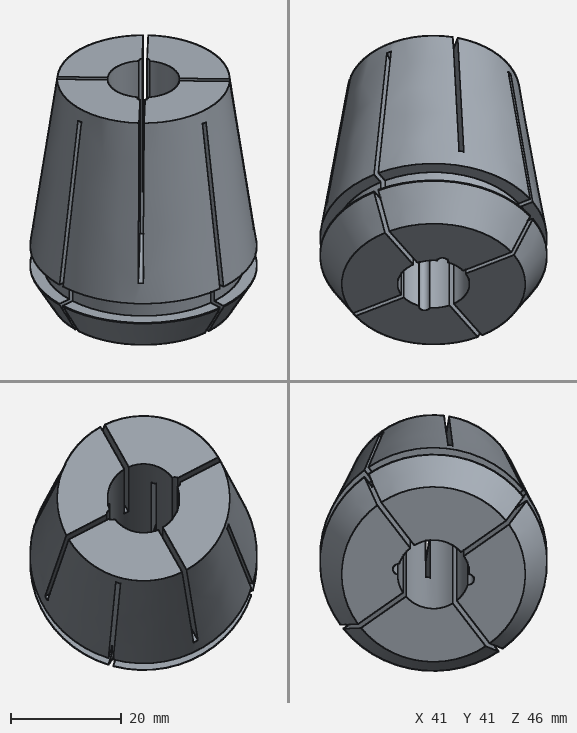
import cadquery as cq
import math

total_height = 46.0
max_radius = 20.5
bore_radius = 6.5

flange_top_z = 7.0
flange_land = 0.2
flange_angle = math.radians(30)
flange_bottom_radius = max_radius - (flange_top_z - flange_land) * math.tan(flange_angle)

groove_width = 4.0
groove_radius = 18.1
taper_start_z = flange_top_z + groove_width

taper_angle = math.radians(8)

slot_count = 4
slot_spacing = 360 / slot_count
slot_width = 0.9
slot_overrun = 5.0

lower_slot_end_at_bore = 34.85
lower_slot_end_at_taper = 43.6
lower_saw_radius = 40.0
upper_slot_end_at_bore = 18.5
upper_slot_end_at_taper = 15.0
upper_saw_radius = 20.0

relief_radius = 1.0
relief_pitch_radius = 6.4
relief_angles = (135, 315)


def taper_radius_at(z):
    """Outer radius of the clamping taper at height z."""
    return max_radius - (z - taper_start_z) * math.tan(taper_angle)


def make_body():
    """Revolved outer profile with the through bore."""
    profile = [
        (bore_radius, 0),
        (flange_bottom_radius, 0),
        (max_radius, flange_top_z - flange_land),
        (max_radius, flange_top_z),
        (groove_radius, flange_top_z),
        (groove_radius, taper_start_z),
        (max_radius, taper_start_z),
        (taper_radius_at(total_height), total_height),
        (bore_radius, total_height),
    ]
    return cq.Workplane("XZ").polyline(profile).close().revolve(360, (0, 0, 0), (0, 1, 0))


def run_out_midpoint(inner, outer, open_z, saw_radius):
    """Middle of the saw arc from inner to outer, bulging away from the slot's open end."""
    chord_r = outer[0] - inner[0]
    chord_z = outer[1] - inner[1]
    chord = math.hypot(chord_r, chord_z)
    bulge = saw_radius - math.sqrt(saw_radius**2 - (chord / 2) ** 2)
    away = 1 if inner[1] > open_z else -1
    mid_r = (inner[0] + outer[0]) / 2 - bulge * abs(chord_z) / chord
    mid_z = (inner[1] + outer[1]) / 2 + away * bulge * chord_r / chord
    return (mid_r, mid_z)


def make_slot(bore_z, taper_z, open_z, saw_radius, angle):
    """Radial saw slot from its open end to an arc run-out, turned to the given angle."""
    inner = (bore_radius, bore_z)
    outer = (taper_radius_at(taper_z), taper_z)
    far_radius = max_radius + slot_overrun
    slot = (
        cq.Workplane("XZ")
        .moveTo(0, open_z)
        .lineTo(0, bore_z)
        .lineTo(*inner)
        .threePointArc(run_out_midpoint(inner, outer, open_z, saw_radius), outer)
        .lineTo(far_radius, taper_z)
        .lineTo(far_radius, open_z)
        .close()
        .extrude(slot_width / 2, both=True)
    )
    return slot.rotate((0, 0, 0), (0, 0, 1), angle)


def make_lower_slot(angle):
    """Slot open at the nose flange."""
    return make_slot(lower_slot_end_at_bore, lower_slot_end_at_taper, -slot_overrun, lower_saw_radius, angle)


def make_upper_slot(angle):
    """Slot open at the small end of the taper."""
    open_z = total_height + slot_overrun
    return make_slot(upper_slot_end_at_bore, upper_slot_end_at_taper, open_z, upper_saw_radius, angle)


def make_relief_hole(angle):
    """Round through hole that breaks into the bore wall at the given angle."""
    hole = cq.Workplane("XY").center(relief_pitch_radius, 0).circle(relief_radius).extrude(total_height)
    return hole.rotate((0, 0, 0), (0, 0, 1), angle)


result = make_body()

for index in range(slot_count):
    lower_angle = index * slot_spacing
    upper_angle = lower_angle + slot_spacing / 2
    result = result.cut(make_lower_slot(lower_angle))
    result = result.cut(make_upper_slot(upper_angle))

for relief_angle in relief_angles:
    result = result.cut(make_relief_hole(relief_angle))